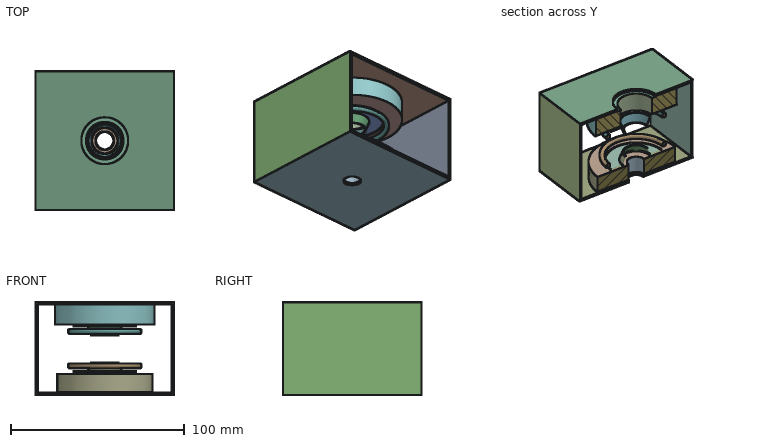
import cadquery as cq

width = 80.0
height = 53.6
wall = 1.5
top_opening_radius = 13.5
bottom_opening_radius = 5.0

upper_magnet_radius = 28.75
upper_magnet_bore_radius = 10.8
upper_magnet_height = 11.5

lower_magnet_radius = 27.5
lower_magnet_bore_radius = 5.4
lower_magnet_height = 10.5
floor_gap = 0.3

flange_radius = 18.0
flange_thickness = 0.5
neck_base_radius = 9.85
neck_tip_radius = 7.8
neck_wall = 0.5
upper_neck_length = 5.25
lower_neck_length = 5.0
upper_flange_depth = 13.6
lower_flange_height = 13.4

surround_outer_radius = 21.25
surround_section_radius = 1.5
surround_inset = 16.9


def make_sleeve():
    """Square tube open along Y, with a round opening in its roof and one in its floor."""
    sleeve = cq.Workplane("XY").box(width, width, height, centered=(True, True, False))
    cavity = (
        cq.Workplane("XY", origin=(0, 0, wall))
        .box(width - 2 * wall, width, height - 2 * wall, centered=(True, True, False))
    )
    top_opening = cq.Workplane("XY", origin=(0, 0, height - wall)).circle(top_opening_radius).extrude(wall)
    bottom_opening = cq.Workplane("XY").circle(bottom_opening_radius).extrude(wall)
    return sleeve.cut(cavity).cut(top_opening).cut(bottom_opening)


def make_magnet(radius, bore_radius, thickness, base_height):
    """Flat ring whose lower face lies at base_height."""
    return (
        cq.Workplane("XY", origin=(0, 0, base_height))
        .circle(radius)
        .circle(bore_radius)
        .extrude(thickness)
    )


def make_cone(neck_length, flange_height, direction):
    """Thin flange and hollow neck; direction is 1 for a neck pointing up and -1 for down."""
    shoulder = flange_height + direction * flange_thickness
    tip = shoulder + direction * neck_length
    return (
        cq.Workplane("XZ")
        .moveTo(neck_base_radius - neck_wall, flange_height)
        .lineTo(flange_radius, flange_height)
        .lineTo(flange_radius, shoulder)
        .lineTo(neck_base_radius, shoulder)
        .lineTo(neck_tip_radius, tip)
        .lineTo(neck_tip_radius - neck_wall, tip)
        .close()
        .revolve(360, (0, 0, 0), (0, 1, 0))
    )


def make_surround(center_height):
    """Round-section ring centred on the Z axis."""
    return (
        cq.Workplane("XZ")
        .moveTo(surround_outer_radius - surround_section_radius, center_height)
        .circle(surround_section_radius)
        .revolve(360, (0, 0, 0), (0, 1, 0))
    )


sleeve = make_sleeve()
upper_magnet = make_magnet(
    upper_magnet_radius, upper_magnet_bore_radius, upper_magnet_height, height - wall - upper_magnet_height
)
lower_magnet = make_magnet(
    lower_magnet_radius, lower_magnet_bore_radius, lower_magnet_height, wall + floor_gap
)
upper_cone = make_cone(upper_neck_length, height - upper_flange_depth, -1)
lower_cone = make_cone(lower_neck_length, lower_flange_height, 1)
surrounds = [make_surround(z) for z in (surround_inset, height - surround_inset)]

result = cq.Compound.makeCompound(
    [
        sleeve.val(),
        upper_magnet.val(),
        lower_magnet.val(),
        upper_cone.val(),
        lower_cone.val(),
        *[surround.val() for surround in surrounds],
    ]
)